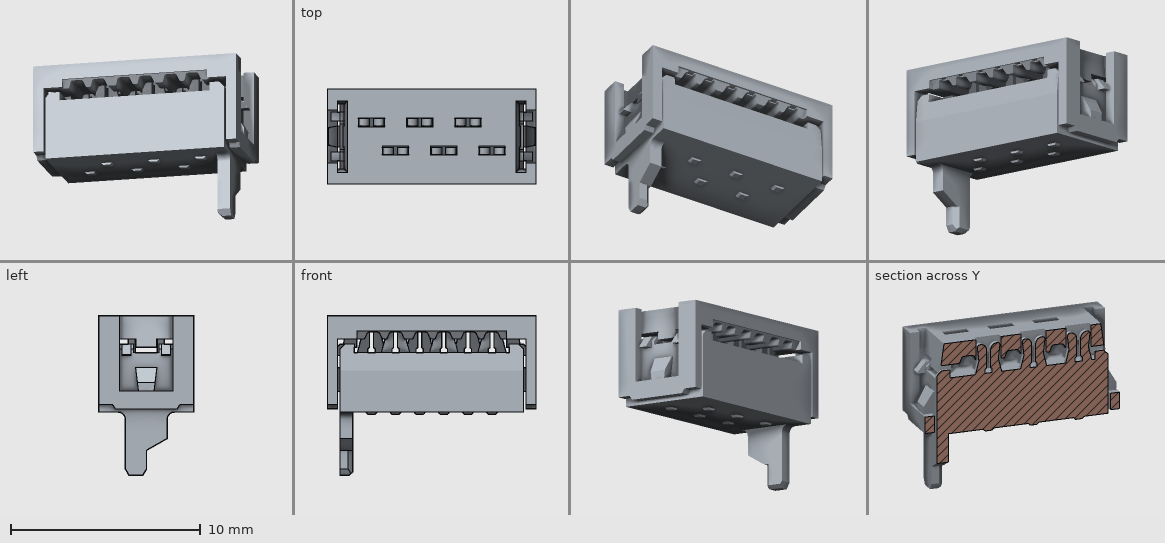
import cadquery as cq
import math


cover_length = 11.0
cover_depth = 5.0
cover_top = 5.08
cover_underside = 3.85
end_wall = 0.55
wall_bottom = 0.18
wall_corner_bottom = 0.41
wall_tongue_bottom_half = 1.62
wall_tongue_top_half = 1.78
wall_window_half = 1.4
wall_window_sill = 1.12
cable_entry_half = 3.94
cable_entry_top = 4.28
cable_entry_flat_run = 0.1
cable_entry_slope_run = 0.25

end_wall_inside = cover_length / 2 - end_wall

slot_inner_x = 4.43
slot_half_depth = 1.88
slot_taper = 0.18
tab_half_depth = 0.56
tab_bottom = 3.41

contact_count = 6
contact_span = 6.35
contact_pitch = contact_span / (contact_count - 1)
contact_row_y = 0.76
contact_thickness = 0.38
contact_hole_row_y = 0.74
contact_hole_length = 1.39
contact_hole_depth = 0.5

contact_foot_half = 0.75
contact_neck_half = 0.56
contact_head_half = 0.65
contact_tip_half = 0.47
contact_tip = 4.77
slit_half = 0.1
slit_root_half = 0.19
slit_flare_top = 3.41
slit_flare_bottom = 3.33
bump_top_half = 0.3
bump_bottom_half = 0.19
bump_drop = 0.11

groove_mouth_half = 0.52
groove_flank_half = 0.43
groove_flank_z = 3.93
groove_shoulder_half = 0.34
groove_shoulder_z = 4.14
groove_crown_half = 0.21
groove_crown_z = 4.21
rear_groove_shift = 0.1
crown_relief_half = 0.19

block_length = 9.68
block_crease_z = 2.18
block_front_lean = 0.11
block_floor = 3.14
ear_top = 3.59
ear_chamfer = 0.26
ear_inner_x = 4.07
ear_inner_y = 0.67

latch_inner_y = 0.81
latch_width = 0.47
latch_tip_x = 5.31
latch_tip_top = 3.05
latch_tip_bottom = 2.98

catch_ledge_x = 4.95
catch_nose_x = 5.43
catch_top = 2.35
catch_nose_top = 1.56
catch_bottom = 1.09
catch_top_half = 0.56
catch_bottom_half = 0.41

peg_thickness = 0.69
peg_half_width = 1.11
peg_root_radius = 0.36
peg_step_top = -1.39
peg_step_bottom = -2.0
peg_narrow_y = -0.02
peg_bottom = -3.32
peg_tip_rise = 0.34
peg_tip_inset = 0.2
peg_corner_chamfer = 0.25
peg_end_chamfer_x = 0.22
peg_end_chamfer_z = 0.19

block_half = block_length / 2
cover_half_depth = cover_depth / 2


def box(x0, x1, y0, y1, z0, z1):
    return cq.Workplane("XY").box(x1 - x0, y1 - y0, z1 - z0, centered=False).translate((x0, y0, z0))


def prism_along_y(points, y0, y1):
    """Extrude an (x, z) outline from y0 to y1; the XZ plane's own normal points to -Y."""
    return cq.Workplane("XZ", origin=(0, y0, 0)).polyline(points).close().extrude(y0 - y1)


def prism_along_x(points, x0, x1):
    """Extrude a (y, z) outline from x0 to x1."""
    return cq.Workplane("YZ", origin=(x0, 0, 0)).polyline(points).close().extrude(x1 - x0)


def mirrored_in_x(part):
    """Join a part with its mirror image across X = 0."""
    return part.union(part.mirror("YZ"))


def contact_places():
    """(x, y) of each contact, alternating between the rear and the front row."""
    places = []
    for index in range(contact_count):
        x = (index - (contact_count - 1) / 2) * contact_pitch
        y = contact_row_y if index % 2 == 0 else -contact_row_y
        places.append((x, y))
    return places


def end_wall_solid():
    outline = [
        (-cover_half_depth, cover_top),
        (-cover_half_depth, wall_corner_bottom),
        (-wall_tongue_top_half, wall_corner_bottom),
        (-wall_tongue_bottom_half, wall_bottom),
        (wall_tongue_bottom_half, wall_bottom),
        (wall_tongue_top_half, wall_corner_bottom),
        (cover_half_depth, wall_corner_bottom),
        (cover_half_depth, cover_top),
    ]
    wall = prism_along_x(outline, -cover_length / 2, -end_wall_inside)
    window = box(
        -cover_length / 2, -end_wall_inside,
        -wall_window_half, wall_window_half,
        wall_window_sill, cover_top,
    )
    return wall.cut(window)


def slot_cutter():
    top_width = end_wall_inside - slot_inner_x
    bottom_width = top_width - slot_taper
    return (
        cq.Workplane("XY", origin=(-end_wall_inside, 0, cover_top))
        .center(top_width / 2, 0)
        .rect(top_width, 2 * slot_half_depth)
        .workplane(offset=cover_underside - cover_top)
        .center((bottom_width - top_width) / 2, 0)
        .rect(bottom_width, 2 * (slot_half_depth - slot_taper))
        .loft(ruled=True)
    )


def cover_tab():
    slope = slot_taper / (cover_top - cover_underside)
    outer_at_underside = slot_inner_x + slot_taper
    outer_at_bottom = outer_at_underside + slope * (cover_underside - tab_bottom)
    outline = [
        (-cable_entry_half, cover_underside),
        (-cable_entry_half, tab_bottom),
        (-outer_at_bottom, tab_bottom),
        (-outer_at_underside, cover_underside),
    ]
    return prism_along_y(outline, -tab_half_depth, tab_half_depth)


def cable_entry():
    """Recess along the front lower edge of the cover whose sloped end leads the cable in."""
    slope_start = -cover_half_depth + cable_entry_flat_run
    outline = [
        (-cover_half_depth, cover_underside),
        (-cover_half_depth, cable_entry_top),
        (slope_start, cable_entry_top),
        (slope_start + cable_entry_slope_run, cover_underside),
    ]
    return prism_along_x(outline, -cable_entry_half, cable_entry_half)


def cable_groove(x):
    """Channel along Y with a flat crown, round shoulders and flared mouth edges."""
    mouth_bend = (
        (groove_mouth_half + groove_flank_half) / 2,
        cover_underside + (groove_flank_z - cover_underside) / 4,
    )
    half = (
        cq.Workplane("XZ", origin=(0, cover_half_depth, 0))
        .moveTo(0, cover_underside)
        .lineTo(0, groove_crown_z)
        .lineTo(groove_crown_half, groove_crown_z)
        .tangentArcPoint((groove_shoulder_half, groove_shoulder_z), relative=False)
        .lineTo(groove_flank_half, groove_flank_z)
        .threePointArc(mouth_bend, (groove_mouth_half, cover_underside))
        .close()
        .extrude(cover_depth)
    )
    return mirrored_in_x(half).translate((x, 0, 0))


def crown_relief(x):
    """Small notch that carries the groove crown up to the full height of the cable entry."""
    relief_depth = cable_entry_flat_run + cable_entry_slope_run
    return box(
        x - crown_relief_half, x + crown_relief_half,
        -cover_half_depth, -cover_half_depth + relief_depth,
        groove_crown_z, cable_entry_top,
    )


def contact_hole(x, y):
    half_length = contact_hole_length / 2
    half_depth = contact_hole_depth / 2
    return box(x - half_length, x + half_length, y - half_depth, y + half_depth, cover_underside, cover_top)


def cover():
    roof = box(
        -end_wall_inside, end_wall_inside,
        -cover_half_depth, cover_half_depth,
        cover_underside, cover_top,
    )
    entry = cable_entry()
    body = roof.cut(mirrored_in_x(slot_cutter()))
    body = body.cut(entry).cut(entry.mirror("XZ"))
    for x, y in contact_places():
        groove_x = x + rear_groove_shift if y > 0 else x
        body = body.cut(cable_groove(groove_x)).cut(crown_relief(groove_x))
        body = body.cut(contact_hole(x, math.copysign(contact_hole_row_y, y)))
    return body.union(mirrored_in_x(end_wall_solid())).union(mirrored_in_x(cover_tab()))


def contact_prong():
    """The +X prong of a contact: outer flank, rounded tip, lead-in and slit edge."""
    outer_radius = contact_head_half - contact_tip_half
    lead_in_radius = contact_tip_half - slit_half
    return (
        cq.Workplane("XZ", origin=(0, contact_thickness / 2, 0))
        .moveTo(slit_root_half, block_floor)
        .lineTo(contact_foot_half, block_floor)
        .lineTo(contact_neck_half, cover_underside)
        .lineTo(contact_head_half, contact_tip - outer_radius)
        .radiusArc((contact_tip_half, contact_tip), -outer_radius)
        .radiusArc((slit_half, contact_tip - lead_in_radius), -lead_in_radius)
        .lineTo(slit_half, slit_flare_top)
        .lineTo(slit_root_half, slit_flare_bottom)
        .close()
        .extrude(contact_thickness)
    )


def contact():
    bump_outline = [
        (-bump_top_half, 0),
        (bump_top_half, 0),
        (bump_bottom_half, -bump_drop),
        (-bump_bottom_half, -bump_drop),
    ]
    bump = prism_along_y(bump_outline, -contact_thickness / 2, contact_thickness / 2)
    return mirrored_in_x(contact_prong()).union(bump)


def block_body():
    front = -cover_half_depth
    top_lean = block_front_lean * (ear_top - block_crease_z) / (block_floor - block_crease_z)
    side_outline = [
        (front, 0),
        (front, block_crease_z),
        (front + top_lean, ear_top),
        (cover_half_depth, ear_top),
        (cover_half_depth, 0),
    ]
    body = prism_along_x(side_outline, -block_half, block_half)
    middle = box(-ear_inner_x, ear_inner_x, front, cover_half_depth, block_floor, ear_top)
    notch = box(-block_half, block_half, -ear_inner_y, ear_inner_y, block_floor, ear_top)
    chamfer_outline = [
        (-block_half, ear_top),
        (-block_half + ear_chamfer, ear_top),
        (-block_half, ear_top - ear_chamfer),
    ]
    chamfer = prism_along_y(chamfer_outline, front, cover_half_depth)
    return body.cut(middle).cut(notch).cut(mirrored_in_x(chamfer))


def latch_pair():
    outline = [
        (-block_half + ear_chamfer, ear_top),
        (-block_half, ear_top),
        (-latch_tip_x, latch_tip_top),
        (-latch_tip_x, latch_tip_bottom),
        (-block_half + ear_chamfer, latch_tip_bottom),
    ]
    latch = prism_along_y(outline, latch_inner_y, latch_inner_y + latch_width)
    return latch.union(latch.mirror("XZ"))


def catch():
    side_outline = [
        (-block_half, catch_top),
        (-catch_ledge_x, catch_top),
        (-catch_nose_x, catch_nose_top),
        (-catch_nose_x, catch_bottom),
        (-block_half, catch_bottom),
    ]
    end_outline = [
        (-catch_top_half, catch_top),
        (catch_top_half, catch_top),
        (catch_bottom_half, catch_bottom),
        (-catch_bottom_half, catch_bottom),
    ]
    wedge = prism_along_y(side_outline, -catch_top_half, catch_top_half)
    return wedge.intersect(prism_along_x(end_outline, -catch_nose_x, -block_half))


def peg():
    root_half = peg_half_width + peg_root_radius
    tip_top = peg_bottom + peg_tip_rise
    outline = (
        cq.Workplane("YZ", origin=(-block_half, 0, 0))
        .moveTo(root_half, 0)
        .radiusArc((peg_half_width, -peg_root_radius), -peg_root_radius)
        .lineTo(peg_half_width, tip_top)
        .lineTo(peg_half_width - peg_tip_inset, peg_bottom)
        .lineTo(peg_narrow_y + peg_tip_inset, peg_bottom)
        .lineTo(peg_narrow_y, tip_top)
        .lineTo(peg_narrow_y, peg_step_bottom)
        .lineTo(-peg_half_width, peg_step_top)
        .lineTo(-peg_half_width, -peg_root_radius)
        .radiusArc((-root_half, 0), -peg_root_radius)
        .close()
    )
    inner_x = -block_half + peg_thickness
    corner = (
        cq.Workplane("XY", origin=(0, 0, peg_bottom))
        .polyline([
            (inner_x, peg_narrow_y),
            (inner_x, peg_narrow_y + peg_corner_chamfer),
            (inner_x - peg_corner_chamfer, peg_narrow_y),
        ])
        .close()
        .extrude(peg_step_bottom - peg_bottom)
    )
    end_chamfer_outline = [
        (inner_x, peg_bottom),
        (inner_x, peg_bottom + peg_end_chamfer_z),
        (inner_x - peg_end_chamfer_x, peg_bottom),
    ]
    end_chamfer = prism_along_y(end_chamfer_outline, -peg_half_width, peg_half_width)
    return outline.extrude(peg_thickness).cut(corner).cut(end_chamfer)


result = block_body().union(mirrored_in_x(latch_pair())).union(mirrored_in_x(catch())).union(peg())
for contact_x, contact_y in contact_places():
    result = result.union(contact().translate((contact_x, contact_y, 0)))
result = result.union(cover())